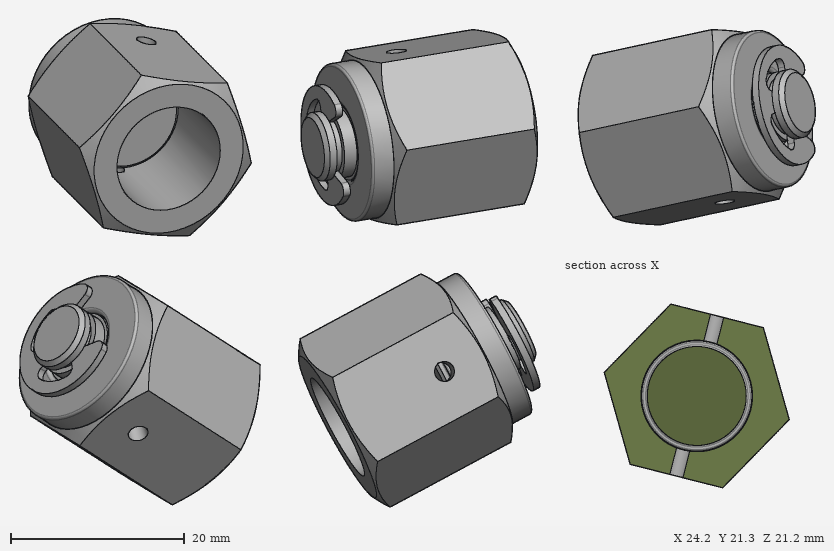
import cadquery as cq
import math

TOTAL_LENGTH = 24.2
TILT = 14.27

HEX_ACROSS_FLATS = 19.05
HEX_START = 6.3
HEX_CHAMFER_ANGLE = 30.0
HEX_FACE_DIAMETER = 18.5
FLANGE_DIAMETER = 18.4
FLANGE_START = 3.6
FLANGE_FILLET = 0.3
NUT_PIN_HOLE = 9.1
PIN_HOLE_FILLET = 0.45
BORE_DIAMETER = 12.8
BORE_START = 7.25
VENT_DIAMETER = 2.3
VENT_X = 11.42

SHAFT_DIAMETER = 8.0
TIP_CHAMFER = 0.5
CLIP_GROOVE_DIAMETER = 6.6
CLIP_GROOVE_START = 1.38
CLIP_GROOVE_END = 2.3
SHOULDER_DIAMETER = 8.8
SHOULDER_START = 3.85
HEAD_DIAMETER = 12.7
HEAD_END = 11.66
HEAD_CHAMFER = 0.36
SEAL_GROOVE_DIAMETER = 11.4
SEAL_GROOVE_START = 8.47
SEAL_GROOVE_END = 10.65
SEAL_LIP_FILLET = 0.17
SEAL_ROOT_FILLET = 0.2

CLIP_START = 1.43
CLIP_THICKNESS = 0.85
CLIP_RADIUS = 7.0
CLIP_WINDOW_RADIUS = 5.45
CLIP_WINDOW_CENTER = 54.3
CLIP_WINDOW_SPAN = 71.5
CLIP_WINDOW_FILLET = 0.9
MOUTH_HALF_ANGLE = 20.5
MOUTH_OFFSET = 2.3
CLIP_TIP_FILLET = 0.9


def cylinder(diameter, start, end):
    """Round bar along X."""
    return cq.Workplane("YZ").workplane(offset=start).circle(diameter / 2).extrude(end - start)


def polar(radius, angle):
    """Point at an angle in degrees."""
    return radius * math.cos(math.radians(angle)), radius * math.sin(math.radians(angle))


def chamfered_hexagon():
    """Hexagonal bar with its corners turned off conically at both ends."""
    corner_diameter = HEX_ACROSS_FLATS / math.cos(math.radians(30))
    corner_radius = corner_diameter / 2
    face_radius = HEX_FACE_DIAMETER / 2
    run = (corner_radius - face_radius) * math.tan(math.radians(HEX_CHAMFER_ANGLE))
    hexagon = (
        cq.Workplane("YZ").workplane(offset=HEX_START)
        .polygon(6, corner_diameter).extrude(TOTAL_LENGTH - HEX_START)
        .rotate((0, 0, 0), (1, 0, 0), -TILT)
    )
    turned_blank = (
        cylinder(corner_diameter, HEX_START, TOTAL_LENGTH)
        .faces("<X or >X").chamfer(run, corner_radius - face_radius)
    )
    return hexagon.intersect(turned_blank)


def vent_holes():
    """Cross drilling through two opposite flats."""
    drill = (
        cq.Workplane("XY").center(VENT_X, 0)
        .circle(VENT_DIAMETER / 2).extrude(HEX_ACROSS_FLATS, both=True)
    )
    return drill.rotate((0, 0, 0), (1, 0, 0), -TILT)


def make_nut():
    flange = cylinder(FLANGE_DIAMETER, FLANGE_START, HEX_START).faces("<X").edges().fillet(FLANGE_FILLET)
    body = chamfered_hexagon().union(flange)
    body = body.cut(cylinder(NUT_PIN_HOLE, FLANGE_START, BORE_START))
    rim = cq.selectors.RadiusNthSelector(0)
    body = body.faces("<X").edges(rim).fillet(PIN_HOLE_FILLET)
    body = body.cut(cylinder(BORE_DIAMETER, BORE_START, TOTAL_LENGTH))
    return body.cut(vent_holes())


def seal_groove_cutter():
    """Ring that leaves the seal groove, with a rounded root at both walls."""
    floor = cylinder(SEAL_GROOVE_DIAMETER, SEAL_GROOVE_START, SEAL_GROOVE_END)
    ring = cylinder(BORE_DIAMETER, SEAL_GROOVE_START, SEAL_GROOVE_END).cut(floor)
    inner = cq.selectors.RadiusNthSelector(0)
    return ring.edges("%CIRCLE").edges(inner).fillet(SEAL_ROOT_FILLET)


def make_pin():
    shaft = cylinder(SHAFT_DIAMETER, 0, SHOULDER_START).faces("<X").chamfer(TIP_CHAMFER)
    groove = cylinder(SHAFT_DIAMETER, CLIP_GROOVE_START, CLIP_GROOVE_END).cut(
        cylinder(CLIP_GROOVE_DIAMETER, CLIP_GROOVE_START, CLIP_GROOVE_END)
    )
    shoulder = cylinder(SHOULDER_DIAMETER, SHOULDER_START, BORE_START)
    head = cylinder(HEAD_DIAMETER, BORE_START, HEAD_END).faces(">X").chamfer(HEAD_CHAMFER)
    head = head.cut(seal_groove_cutter())
    lip_margin = SEAL_LIP_FILLET / 2
    lips = cq.selectors.BoxSelector(
        (SEAL_GROOVE_START - lip_margin, -HEAD_DIAMETER, -HEAD_DIAMETER),
        (SEAL_GROOVE_END + lip_margin, HEAD_DIAMETER, HEAD_DIAMETER),
    )
    outer = cq.selectors.RadiusNthSelector(-1)
    head = head.edges("%CIRCLE").edges(lips).edges(outer).fillet(SEAL_LIP_FILLET)
    return shaft.cut(groove).union(shoulder).union(head)


def clip_plate():
    return cq.Workplane("YZ").workplane(offset=CLIP_START)


def is_outside_groove(edge):
    """True for an edge along X that lies beyond the clip groove's floor."""
    center = edge.Center()
    return math.hypot(center.y, center.z) > CLIP_GROOVE_DIAMETER / 2


def clip_window(middle_angle):
    """Ring-sector opening with rounded outer corners."""
    first = middle_angle - CLIP_WINDOW_SPAN / 2
    last = middle_angle + CLIP_WINDOW_SPAN / 2
    inner_radius = CLIP_GROOVE_DIAMETER / 4
    sector = (
        clip_plate().moveTo(*polar(inner_radius, first))
        .lineTo(*polar(CLIP_WINDOW_RADIUS, first))
        .threePointArc(polar(CLIP_WINDOW_RADIUS, middle_angle), polar(CLIP_WINDOW_RADIUS, last))
        .lineTo(*polar(inner_radius, last))
        .close().extrude(CLIP_THICKNESS)
    )
    return sector.edges("|X").filter(is_outside_groove).fillet(CLIP_WINDOW_FILLET)


def make_clip():
    """Ring opening toward -Y, with two windows around its back."""
    mouth_reach = 2 * CLIP_RADIUS
    mouth_half_width = MOUTH_OFFSET + mouth_reach * math.tan(math.radians(MOUTH_HALF_ANGLE))
    mouth = (
        clip_plate()
        .polyline([(0, -MOUTH_OFFSET), (0, MOUTH_OFFSET),
                   (-mouth_reach, mouth_half_width), (-mouth_reach, -mouth_half_width)])
        .close().extrude(CLIP_THICKNESS)
    )
    clip = cylinder(2 * CLIP_RADIUS, CLIP_START, CLIP_START + CLIP_THICKNESS).cut(mouth)
    clip = clip.edges("|X").filter(is_outside_groove).fillet(CLIP_TIP_FILLET)
    for side in (-1, 1):
        clip = clip.cut(clip_window(side * CLIP_WINDOW_CENTER))
    clip = clip.cut(cylinder(CLIP_GROOVE_DIAMETER, CLIP_START, CLIP_START + CLIP_THICKNESS))
    return clip.rotate((0, 0, 0), (1, 0, 0), -TILT)


nut = make_nut()
pin = make_pin()
clip = make_clip()

result = cq.Compound.makeCompound([nut.val(), pin.val(), clip.val()])